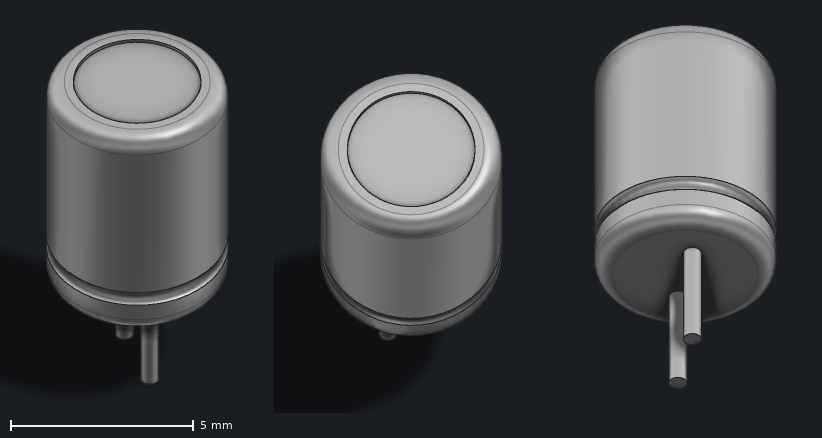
import cadquery as cq

total_height = 10.0
lead_length = 3.0
can_radius = 2.5
edge_radius = 0.5

groove_bottom = 4.03
groove_top = 4.48
groove_depth = 0.13

recess_diameter = 3.5
recess_depth = 0.1

lead_diameter = 0.5
lead_pitch = 2.0

can_height = total_height - lead_length
groove_middle = (groove_bottom + groove_top) / 2


def make_can():
    """Solid can with rounded top and bottom edges."""
    can = cq.Workplane("XY").workplane(offset=lead_length).circle(can_radius).extrude(can_height)
    return can.edges().fillet(edge_radius)


def make_groove():
    """Ring with an arc-shaped inner side, to be cut from the can wall."""
    return (
        cq.Workplane("XZ")
        .moveTo(can_radius, groove_bottom)
        .threePointArc((can_radius - groove_depth, groove_middle), (can_radius, groove_top))
        .close()
        .revolve(360, (0, 0, 0), (0, 1, 0))
    )


def make_recess():
    """Disc removed from the top face."""
    floor = total_height - recess_depth
    return cq.Workplane("XY").workplane(offset=floor).circle(recess_diameter / 2).extrude(recess_depth)


def make_leads():
    """Two round leads, reaching up to the underside of the can."""
    positions = [(-lead_pitch / 2, 0), (lead_pitch / 2, 0)]
    return cq.Workplane("XY").pushPoints(positions).circle(lead_diameter / 2).extrude(lead_length)


result = make_can().cut(make_groove()).cut(make_recess()).union(make_leads())